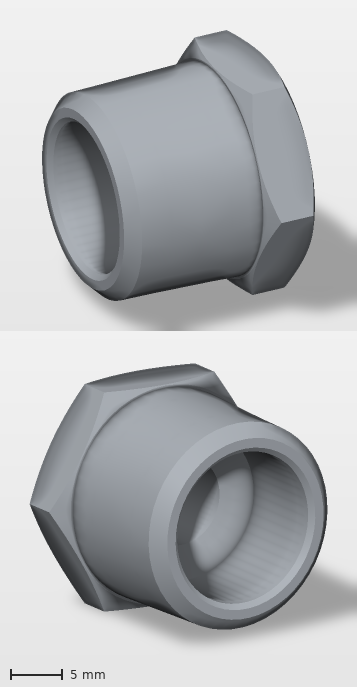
import cadquery as cq
import math


across_flats = 22.0
across_corners = across_flats / math.cos(math.radians(30))
head_thickness = 5.5
head_face_radius = 10.9
head_chamfer_angle = 30.0
corner_clearance = 1.0

total_length = 19.5
spigot_tip_radius = 10.31
spigot_root_radius = 10.65
tip_chamfer = 1.3

bore_radius = 7.55
bore_depth = 10.0
mouth_chamfer = 0.5
through_hole_radius = 4.375
drill_point_angle = 140.0


def revolve_about_y(profile):
    """Turn a closed (radius, y) profile into a solid about the Y axis."""
    return cq.Workplane("ZY").polyline(profile).close().revolve(360, (0, 0, 0), (0, 1, 0))


def make_head():
    """Hexagon with corners on X, its back face at y = 0, both faces chamfered."""
    hexagon = cq.Workplane("XZ").polygon(6, across_corners).extrude(head_thickness)
    envelope_radius = across_corners / 2 + corner_clearance
    slope = math.tan(math.radians(head_chamfer_angle))
    chamfer_drop = (envelope_radius - head_face_radius) * slope
    envelope = revolve_about_y([
        (0, 0),
        (head_face_radius, 0),
        (envelope_radius, -chamfer_drop),
        (envelope_radius, -head_thickness + chamfer_drop),
        (head_face_radius, -head_thickness),
        (0, -head_thickness),
    ])
    return hexagon.intersect(envelope)


def make_spigot():
    """Cone that narrows towards a chamfered tip."""
    return revolve_about_y([
        (0, -head_thickness),
        (spigot_root_radius, -head_thickness),
        (spigot_tip_radius, -total_length + tip_chamfer),
        (spigot_tip_radius - tip_chamfer, -total_length),
        (0, -total_length),
    ])


def make_bore():
    """Chamfered blind bore with a conical floor leading into the through hole."""
    floor_y = -total_length + bore_depth
    half_angle = math.radians(drill_point_angle / 2)
    cone_height = (bore_radius - through_hole_radius) / math.tan(half_angle)
    return revolve_about_y([
        (0, -total_length),
        (bore_radius + mouth_chamfer, -total_length),
        (bore_radius, -total_length + mouth_chamfer),
        (bore_radius, floor_y),
        (through_hole_radius, floor_y + cone_height),
        (through_hole_radius, 0),
        (0, 0),
    ])


result = make_head().union(make_spigot()).cut(make_bore())